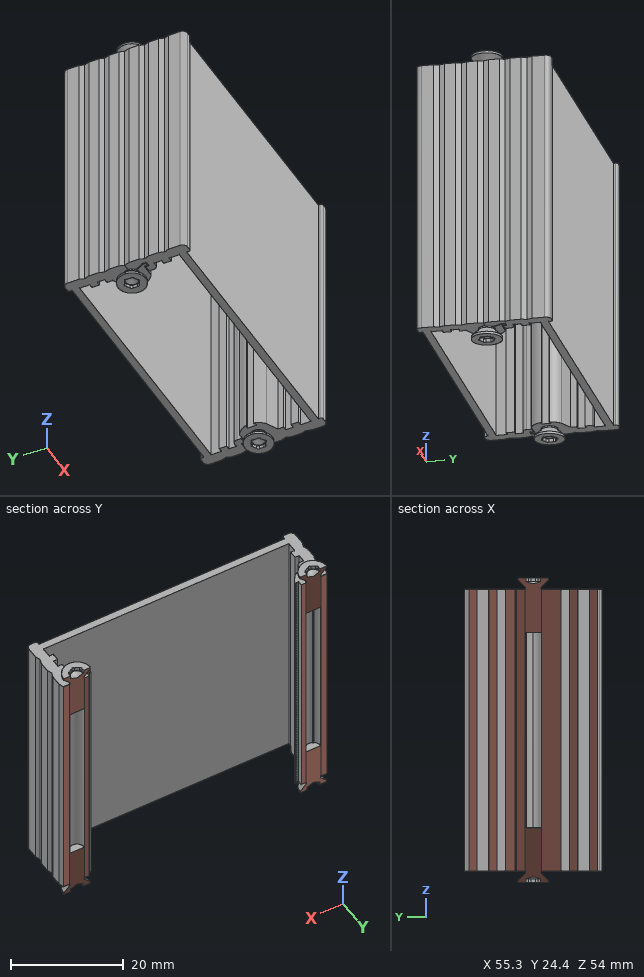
import cadquery as cq
import math

WIDTH = 55.3
DEPTH = 24.4
SHELL_LENGTH = 50.0
RAIL_THICKNESS = 2.2
OUTER_RADIUS = 1.0
LIP_RADIUS = 0.45
PLATE_THICKNESS = 1.5
PLATE_RECESS = 0.8

GROOVE_COUNT = 3
GROOVE_PITCH = 4.0
GROOVE_HALF_WIDTH = 1.0
GROOVE_DEPTH = 0.35

RIB_HEIGHT = 0.85
RIB_START = 6.4
RIB_WIDTH = 1.5
GUIDE_END = 4.9

SCREW_INSET = 3.15

BOSS_RADIUS = 3.4
FLANK_START_Y = 3.75
FLANK_END_ANGLE = math.radians(52)
HOOK_ARM_Y = -3.0
HOOK_TIP_Y = -3.6
HOOK_INNER_X = -0.95
HOOK_OUTER_X = -1.6
HOOK_CLEARANCE = 0.15
JAW_X = 0.55
JAW_RADIUS = 0.9
SLOT_FLOOR = 2.55
SLOT_WIDTH = 1.75
MOUTH_START = 3.0
MOUTH_WIDTH = 1.3

SHANK_DIAMETER = 3.0
SHANK_DEPTH = 7.75
HEAD_DIAMETER = 5.55
HEAD_STANDOFF = 2.0
RIM_HEIGHT = 0.45
SOCKET_DEPTH = 0.65
SOCKET_CORE_DIAMETER = 2.65
LOBE_COUNT = 6
FIRST_LOBE_ANGLE = 30
LOBE_CIRCLE_RADIUS = 1.2
LOBE_RADIUS = 0.3
SOCKET_CONE_DIAMETER = 2.45
SOCKET_CONE_DEPTH = 0.55

HALF_WIDTH = WIDTH / 2
HALF_DEPTH = DEPTH / 2
WALL_X = HALF_WIDTH - RAIL_THICKNESS
SCREW_X = HALF_WIDTH - SCREW_INSET
WALL_FROM_SCREW = SCREW_INSET - RAIL_THICKNESS
SHELL_TOP = SHELL_LENGTH / 2


def block(x0, x1, y0, y1):
    """Bar with a rectangular section, as long as the shell."""
    center = ((x0 + x1) / 2, (y0 + y1) / 2, 0)
    return cq.Workplane("XY").box(x1 - x0, y1 - y0, SHELL_LENGTH).translate(center)


def drawn(outline):
    """Bar with the given section, as long as the shell."""
    return outline.extrude(SHELL_LENGTH)


def section(x=0.0):
    """Workplane on the lower end of the shell, with its origin at x."""
    return cq.Workplane("XY", origin=(x, 0, -SHELL_TOP))


def half_turn(body):
    return body.rotate((0, 0, 0), (0, 0, 1), 180)


def side_rail():
    """Right side wall: rounded edges, V-grooves outside and a board guide inside."""
    rail = block(WALL_X, HALF_WIDTH, 0, HALF_DEPTH)
    rail = rail.edges("|Z and >Y").edges(">X").fillet(OUTER_RADIUS)
    rail = rail.edges("|Z and >Y").edges("<X").fillet(LIP_RADIUS)
    for index in range(GROOVE_COUNT):
        y = index * GROOVE_PITCH
        groove = section().polyline([
            (HALF_WIDTH, y - GROOVE_HALF_WIDTH),
            (HALF_WIDTH - GROOVE_DEPTH, y),
            (HALF_WIDTH, y + GROOVE_HALF_WIDTH),
        ]).close()
        rail = rail.cut(drawn(groove))
    return rail.union(block(WALL_X - RIB_HEIGHT, WALL_X, RIB_START, RIB_START + RIB_WIDTH))


def hook_arm():
    """Section of the left boss below the parting plane, ending in the snap hook."""
    arm_end = math.sqrt(BOSS_RADIUS**2 - HOOK_ARM_Y**2)
    return (
        section(-SCREW_X)
        .moveTo(BOSS_RADIUS, 0)
        .radiusArc((arm_end, HOOK_ARM_Y), BOSS_RADIUS)
        .lineTo(HOOK_INNER_X, HOOK_ARM_Y)
        .lineTo(HOOK_INNER_X, HOOK_TIP_Y)
        .lineTo(HOOK_OUTER_X, HOOK_TIP_Y)
        .lineTo(HOOK_OUTER_X, HOOK_ARM_Y)
        .lineTo(0, 0)
        .close()
    )


def hook_boss():
    """Left screw boss: it joins the wall above the parting plane and hooks below it."""
    flank_end_x = BOSS_RADIUS * math.cos(FLANK_END_ANGLE)
    flank_end_y = BOSS_RADIUS * math.sin(FLANK_END_ANGLE)
    rib_end = RIB_HEIGHT - WALL_FROM_SCREW
    upper = (
        section(-SCREW_X)
        .moveTo(-WALL_FROM_SCREW, GUIDE_END)
        .lineTo(rib_end, GUIDE_END)
        .lineTo(rib_end, FLANK_START_Y)
        .lineTo(flank_end_x, flank_end_y)
        .radiusArc((BOSS_RADIUS, 0), BOSS_RADIUS)
        .lineTo(-WALL_FROM_SCREW, 0)
        .close()
    )
    boss = drawn(upper).union(drawn(hook_arm()))
    slot_x = SLOT_FLOOR - SCREW_X
    mouth_x = MOUTH_START - SCREW_X
    boss_end = BOSS_RADIUS - SCREW_X
    slot = block(slot_x, mouth_x, -SLOT_WIDTH / 2, SLOT_WIDTH / 2)
    mouth = block(mouth_x, boss_end, -MOUTH_WIDTH / 2, MOUTH_WIDTH / 2)
    return boss.cut(slot).cut(mouth)


def jaw():
    """Right inner block that holds the other half's hook."""
    body = block(SCREW_X - JAW_X, WALL_X, 0, GUIDE_END)
    return body.edges("|Z and >Y").edges("<X").fillet(JAW_RADIUS)


def half_shell():
    """Plate, two side rails, hook boss on the left and jaw on the right."""
    plate_outer_y = HALF_DEPTH - PLATE_RECESS
    plate = block(-WALL_X, WALL_X, plate_outer_y - PLATE_THICKNESS, plate_outer_y)
    rail = side_rail()
    hook_recess = half_turn(drawn(hook_arm().offset2D(HOOK_CLEARANCE, "intersection")))
    right_side = rail.union(jaw()).cut(hook_recess)
    left_side = rail.mirror("YZ").union(hook_boss())
    screw_holes = drawn(
        section().pushPoints([(-SCREW_X, 0), (SCREW_X, 0)]).circle(SHANK_DIAMETER / 2)
    )
    return plate.union(right_side).union(left_side).cut(screw_holes)


def screw():
    """Countersunk screw with a six-lobe socket; z = 0 is the end face of the shell."""
    shank_radius = SHANK_DIAMETER / 2
    head_radius = HEAD_DIAMETER / 2
    rim_z = HEAD_STANDOFF - RIM_HEIGHT
    cone_z = rim_z - (head_radius - shank_radius)
    body = (
        cq.Workplane("XZ")
        .moveTo(0, -SHANK_DEPTH)
        .lineTo(shank_radius, -SHANK_DEPTH)
        .lineTo(shank_radius, cone_z)
        .lineTo(head_radius, rim_z)
        .lineTo(head_radius, HEAD_STANDOFF)
        .lineTo(0, HEAD_STANDOFF)
        .close()
        .revolve(360, (0, 0), (0, 1))
    )
    core_radius = SOCKET_CORE_DIAMETER / 2
    floor_z = HEAD_STANDOFF - SOCKET_DEPTH
    core = cq.Workplane("XY", origin=(0, 0, floor_z)).circle(core_radius).extrude(SOCKET_DEPTH)
    tip = cq.Workplane(cq.Solid.makeCone(0, SOCKET_CONE_DIAMETER / 2, SOCKET_CONE_DEPTH))
    tip = tip.translate((0, 0, floor_z - SOCKET_CONE_DEPTH))
    lobes = (
        cq.Workplane("XY", origin=(0, 0, floor_z))
        .polarArray(LOBE_CIRCLE_RADIUS, FIRST_LOBE_ANGLE, 360, LOBE_COUNT)
        .circle(LOBE_RADIUS)
        .extrude(SOCKET_DEPTH)
    )
    return body.cut(core).cut(tip).cut(lobes)


upper_half = half_shell()
lower_half = half_turn(upper_half)

screws = []
for screw_x in (-SCREW_X, SCREW_X):
    top_screw = screw().translate((screw_x, 0, SHELL_TOP))
    screws.append(top_screw.val())
    screws.append(top_screw.mirror("XY").val())

result = cq.Compound.makeCompound([upper_half.val(), lower_half.val(), *screws])